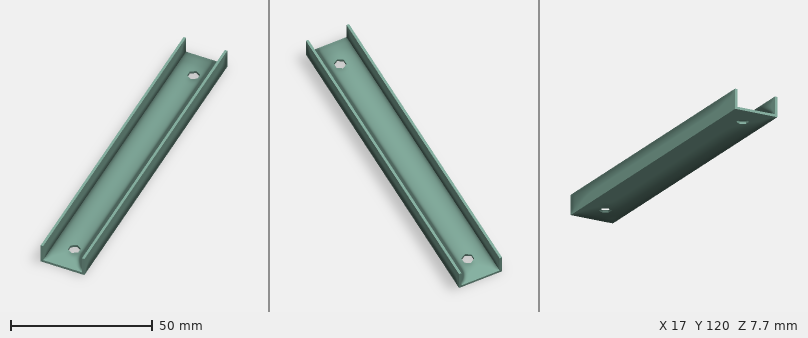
import cadquery as cq

length = 120.0
width = 17.0
height = 7.7
wall = 1.0

hole_across_corners = 4.5
hole_end_distance = 10.0
hole_spacing = length - 2 * hole_end_distance


def channel():
    """U-shaped channel along Y, open upwards and at both ends."""
    inner_width = width - 2 * wall
    outer = cq.Workplane("XY").box(width, length, height, centered=(True, True, False))
    inner = cq.Workplane("XY").workplane(offset=wall).box(
        inner_width, length, height, centered=(True, True, False)
    )
    return outer.cut(inner)


def floor_holes():
    """Hexagonal cutters with two corners pointing along Y."""
    return (
        cq.Workplane("XY")
        .transformed(rotate=(0, 0, 90))
        .pushPoints([(-hole_spacing / 2, 0), (hole_spacing / 2, 0)])
        .polygon(6, hole_across_corners)
        .extrude(wall)
    )


result = channel().cut(floor_holes())